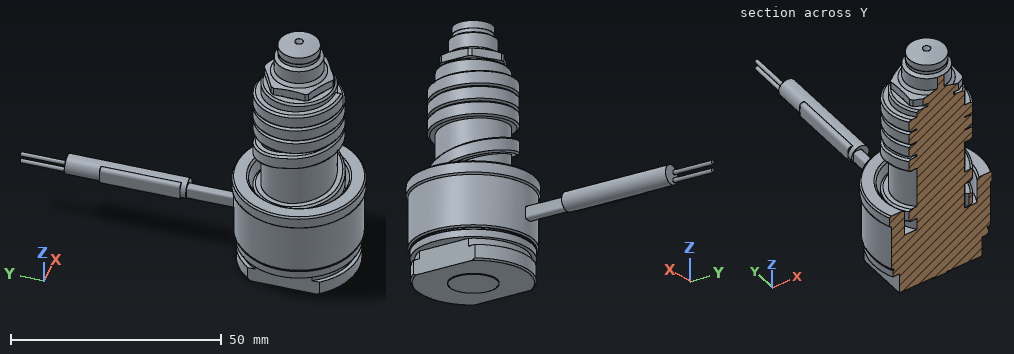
import cadquery as cq
import math

tip_z = 66.2
flange_top_z = 25.25
base_top_z = 6.1
base_z = 0.25

flange_radius = 16.0
housing_radius = 15.55
step_radius = 15.05
base_radius = 15.0
neck_radius = 13.9
pad_radius = 6.1
flange_bottom_z = 22.2
housing_bottom_z = 8.9
step_top_z = 8.1
neck_bottom_z = 4.2
edge_chamfer = 0.4
groove_depth = 0.25
base_flat_offset = 12.0

recess_radius = 12.0
recess_depth = 7.65
recess_chamfer = 0.5

stem_radius = 9.1
stem_top_z = 54.15
stem_chamfer = 0.5
stem_embed = 0.85
nut_bottom_z = 54.8
nut_top_z = 57.4
nut_neck_radius = 7.0
nut_across_flats = 15.3
nut_corner_radius = 8.6
nut_top_radius = 6.8
nut_chamfer_height = 0.6
collar_bottom_z = 58.1
collar_top_z = 61.7
collar_radius = 5.95
tip_radius = 5.1
tip_bottom_z = 62.3
tip_neck_radius = 5.0
tip_neck_top_z = 63.2
dome_height = 1.0
dimple_radius = 1.0
dimple_depth = 1.7

spring_outer_radius = 11.0
spring_start_z = 50.9
spring_start_angle = -90.0
coil_height = 3.8
coil_chamfer_width = 0.6
coil_chamfer_height = 0.4
coil_embed = 0.4
spring_stages = [(3.05, 3.9), (0.2, 8.1), (0.8, 17.3), (0.2, 8.1), (0.6, 3.9)]

cable_z = 14.5
cable_x = -0.8
cable_width = 2.5
cable_height = 3.4
cable_corner = 0.6
cable_start_y = 12.75
wire_radius = 0.6
wire_x = -1.0
wire_offset = 1.0
overall_length = 85.0
wire_end_y = overall_length - flange_radius
sleeve_z = 14.6
sleeve_radius = 2.55
sleeve_start_y = 27.45
sleeve_end_y = 57.7
sleeve_overlap = 0.85
clamp_start_y = 28.9
clamp_end_y = 49.0
clamp_width = 2.55
clamp_height = 4.5
clamp_corner = 0.9


def disc(radius, bottom_z, top_z):
    return cq.Workplane("XY").workplane(offset=bottom_z).circle(radius).extrude(top_z - bottom_z)


def make_housing():
    groove_radius = step_radius - groove_depth
    profile = [
        (0, 0),
        (pad_radius, 0),
        (pad_radius, base_z),
        (base_radius - edge_chamfer, base_z),
        (base_radius, base_z + edge_chamfer),
        (base_radius, neck_bottom_z),
        (neck_radius, neck_bottom_z),
        (neck_radius, base_top_z),
        (step_radius, base_top_z),
        (step_radius, step_top_z),
        (groove_radius, step_top_z),
        (groove_radius, housing_bottom_z - edge_chamfer),
        (housing_radius - edge_chamfer, housing_bottom_z - edge_chamfer),
        (housing_radius, housing_bottom_z),
        (housing_radius, flange_bottom_z - edge_chamfer),
        (flange_radius, flange_bottom_z),
        (flange_radius, flange_top_z - edge_chamfer),
        (flange_radius - edge_chamfer, flange_top_z),
        (recess_radius + recess_chamfer, flange_top_z),
        (recess_radius, flange_top_z - recess_chamfer),
        (recess_radius, flange_top_z - recess_depth),
        (0, flange_top_z - recess_depth),
    ]
    housing = cq.Workplane("XZ").polyline(profile).close().revolve(360, (0, 0, 0), (0, 1, 0))
    flats = cq.Workplane("XY").box(2 * base_flat_offset, 2 * flange_radius, base_top_z, (True, True, False))
    upper = disc(flange_radius, base_top_z, flange_top_z)
    return housing.intersect(flats.union(upper))


def make_stem():
    foot_z = flange_top_z - recess_depth - stem_embed
    dome_edge_z = tip_z - dome_height
    dome_radius = (tip_radius**2 + dome_height**2) / (2 * dome_height)
    half_angle = math.asin(tip_radius / dome_radius) / 2
    dome_middle = (
        dome_radius * math.sin(half_angle),
        tip_z - dome_radius * (1 - math.cos(half_angle)),
    )
    return (
        cq.Workplane("XZ")
        .moveTo(0, foot_z)
        .lineTo(stem_radius, foot_z)
        .lineTo(stem_radius, stem_top_z - stem_chamfer)
        .lineTo(stem_radius - stem_chamfer, stem_top_z)
        .lineTo(nut_neck_radius, stem_top_z)
        .lineTo(nut_neck_radius, nut_bottom_z)
        .lineTo(nut_top_radius, nut_top_z)
        .lineTo(collar_radius, collar_bottom_z)
        .lineTo(collar_radius, collar_top_z)
        .lineTo(tip_neck_radius, tip_bottom_z)
        .lineTo(tip_neck_radius, tip_neck_top_z)
        .lineTo(tip_radius, tip_neck_top_z)
        .lineTo(tip_radius, dome_edge_z)
        .threePointArc(dome_middle, (0, tip_z))
        .close()
        .revolve(360, (0, 0, 0), (0, 1, 0))
    )


def make_dimple():
    apex = cq.Vector(0, 0, tip_z - dimple_depth)
    return cq.Workplane(cq.Solid.makeCone(0, dimple_radius, dimple_depth, apex))


def make_nut():
    across_corners = nut_across_flats / math.cos(math.pi / 6)
    flat_turn = 30
    hexagon = (
        cq.Workplane("XY")
        .workplane(offset=nut_bottom_z)
        .transformed(rotate=(0, 0, flat_turn))
        .polygon(6, across_corners)
        .extrude(nut_top_z - nut_bottom_z)
    )
    envelope = (
        cq.Workplane("XZ")
        .moveTo(0, nut_bottom_z)
        .lineTo(nut_corner_radius, nut_bottom_z)
        .lineTo(nut_corner_radius, nut_top_z - nut_chamfer_height)
        .lineTo(nut_top_radius, nut_top_z)
        .lineTo(0, nut_top_z)
        .close()
        .revolve(360, (0, 0, 0), (0, 1, 0))
    )
    return hexagon.intersect(envelope)


def make_coil(turns, pitch):
    """Right-handed strip of coil whose lower end is centred on the XZ plane at z = 0."""
    half = coil_height / 2
    outer_half = half - coil_chamfer_height
    inner = stem_radius - coil_embed
    shoulder = spring_outer_radius - coil_chamfer_width
    path = cq.Wire.makeHelix(pitch, turns * pitch, stem_radius)
    guide = cq.Wire.makeHelix(pitch, turns * pitch, spring_outer_radius)
    return (
        cq.Workplane("XZ")
        .moveTo(inner, -half)
        .lineTo(shoulder, -half)
        .lineTo(spring_outer_radius, -outer_half)
        .lineTo(spring_outer_radius, outer_half)
        .lineTo(shoulder, half)
        .lineTo(inner, half)
        .close()
        .sweep(cq.Workplane(path), auxSpine=cq.Workplane(guide))
    )


def add_spring(body):
    angle = spring_start_angle
    z = spring_start_z
    for turns, pitch in spring_stages:
        angle -= 360 * turns
        z -= turns * pitch
        coil = make_coil(turns, pitch).rotate((0, 0, 0), (0, 0, 1), angle).translate((0, 0, z))
        body = body.union(coil)
    return body


def rod_along_y(x, z, radius, start_y, end_y):
    return cq.Workplane("XZ", origin=(x, start_y, z)).circle(radius).extrude(start_y - end_y)


def rounded_bar(x, z, width, height, corner, start_y, end_y):
    length = end_y - start_y
    bar = cq.Workplane("XY").box(width, length, height).edges("|Y").fillet(corner)
    return bar.translate((x, start_y + length / 2, z))


def make_cable():
    cable_end_y = sleeve_start_y + sleeve_overlap
    cable = rounded_bar(cable_x, cable_z, cable_width, cable_height, cable_corner, cable_start_y, cable_end_y)
    cable = cable.union(rod_along_y(0, sleeve_z, sleeve_radius, sleeve_start_y, sleeve_end_y))
    clamp_x = clamp_width / 2 - sleeve_radius
    clamp = rounded_bar(clamp_x, sleeve_z, clamp_width, clamp_height, clamp_corner, clamp_start_y, clamp_end_y)
    cable = cable.union(clamp)
    for side in (-1, 1):
        z = cable_z + side * wire_offset
        cable = cable.union(rod_along_y(wire_x, z, wire_radius, sleeve_end_y - sleeve_overlap, wire_end_y))
    return cable


stem = make_stem().union(make_nut()).cut(make_dimple())
result = add_spring(make_housing().union(stem)).union(make_cable())